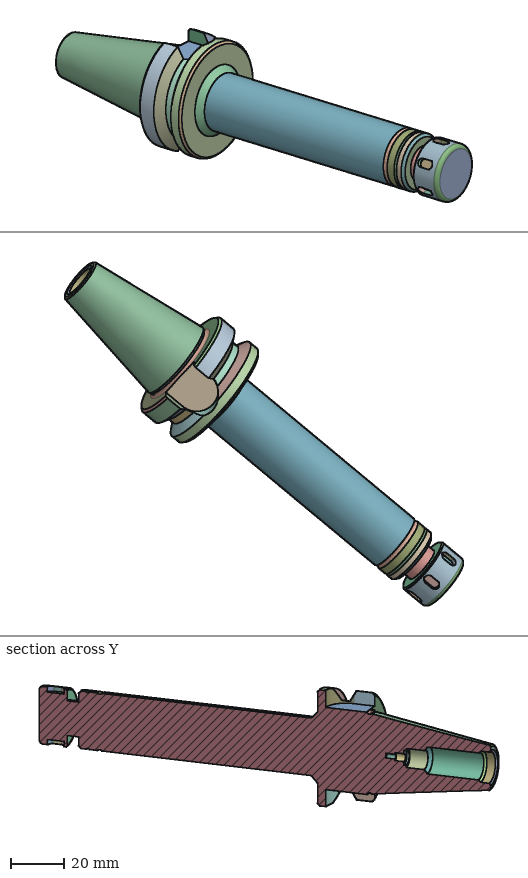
import cadquery as cq
import math

overall_length = 183.4

gauge_x = 48.2
gauge_radius = 16.0
taper_slope = 7 / 48
nose_chamfer_length = 0.5
nose_face_radius = 8.3

relief_bottom_x = 49.2
relief_bottom_radius = 15.5
flange_start_x = 50.5
relief_fillet = flange_start_x - relief_bottom_x

flange_radius = 46.0 / 2
flange_end_x = 70.5
flange_chamfer = 1.0
gripper_center_x = 61.8
gripper_bottom_half_width = 1.5
gripper_top_half_width = 4.0
gripper_bottom_radius = 18.9

drive_slot_width = 16.1
drive_slot_floor_z = 16.3
drive_slot_end_x = 67.0

shank_radius = 23.0 / 2
shank_root_length = 2.5
shank_root_height = 2.5
shank_end_x = 167.5
shank_end_chamfer = 1.1
wide_ring_x = 157.9
wide_ring_width = 1.8
narrow_ring_x = 163.0
narrow_ring_width = 1.1
wide_ring_depth = 0.4
narrow_ring_depth = 0.4

neck_radius = 7.0
nut_start_x = 171.8
nut_radius = shank_radius
nut_rear_chamfer = 0.5
nut_front_fillet = 1.7

wrench_slot_count = 6
wrench_slot_start_x = 173.3
wrench_slot_length = 6.6
wrench_slot_width = 3.5
wrench_slot_depth = 2.0

mouth_radius = 7.0
mouth_chamfer_length = 0.5
counterbore_radius = 6.0
counterbore_depth = 4.0
thread_lead_in = 1.0
thread_radius = 10.5 / 2
thread_end_x = 25.7
cone_length = 1.3
pilot_radius = 3.7
pilot_length = 7.3
seat_radius = 5.7 / 2
seat_length = 1.0
stop_recess_radius = 1.5
stop_recess_length = 3.7
stop_hole_radius = 0.85
stop_hole_length = 3.7


def taper_radius(x):
    """Radius of the taper at a distance x from its small end."""
    return gauge_radius - taper_slope * (gauge_x - x)


def make_body():
    """Revolve the outer profile around X."""
    half_diagonal = math.sqrt(0.5)
    relief_mid = (
        relief_bottom_x + relief_fillet * half_diagonal,
        relief_bottom_radius + relief_fillet * (1 - half_diagonal),
    )
    nut_mid = (
        overall_length - nut_front_fillet * (1 - half_diagonal),
        nut_radius - nut_front_fillet * (1 - half_diagonal),
    )
    profile = (
        cq.Workplane("XY")
        .moveTo(0, 0)
        .lineTo(0, nose_face_radius)
        .lineTo(nose_chamfer_length, taper_radius(nose_chamfer_length))
        .lineTo(gauge_x, gauge_radius)
        .lineTo(relief_bottom_x, relief_bottom_radius)
        .threePointArc(relief_mid, (flange_start_x, relief_bottom_radius + relief_fillet))
        .lineTo(flange_start_x, flange_radius - flange_chamfer)
        .lineTo(flange_start_x + flange_chamfer, flange_radius)
        .lineTo(gripper_center_x - gripper_top_half_width, flange_radius)
        .lineTo(gripper_center_x - gripper_bottom_half_width, gripper_bottom_radius)
        .lineTo(gripper_center_x + gripper_bottom_half_width, gripper_bottom_radius)
        .lineTo(gripper_center_x + gripper_top_half_width, flange_radius)
        .lineTo(flange_end_x - flange_chamfer, flange_radius)
        .lineTo(flange_end_x, flange_radius - flange_chamfer)
        .lineTo(flange_end_x, shank_radius + shank_root_height)
        .lineTo(flange_end_x + shank_root_length, shank_radius)
        .lineTo(shank_end_x - shank_end_chamfer, shank_radius)
        .lineTo(shank_end_x, shank_radius - shank_end_chamfer)
        .lineTo(shank_end_x, neck_radius)
        .lineTo(nut_start_x, neck_radius)
        .lineTo(nut_start_x, nut_radius - nut_rear_chamfer)
        .lineTo(nut_start_x + nut_rear_chamfer, nut_radius)
        .lineTo(overall_length - nut_front_fillet, nut_radius)
        .threePointArc(nut_mid, (overall_length, nut_radius - nut_front_fillet))
        .lineTo(overall_length, 0)
        .close()
    )
    return profile.revolve(360, (0, 0, 0), (1, 0, 0))


def make_ring_groove(start_x, width, depth):
    """Round-bottomed ring cutter for a marking groove in the shank."""
    return (
        cq.Workplane("XY")
        .moveTo(start_x, shank_radius)
        .threePointArc((start_x + width / 2, shank_radius - depth), (start_x + width, shank_radius))
        .close()
        .revolve(360, (0, 0, 0), (1, 0, 0))
    )


def make_drive_slot():
    """Cutter for the upper drive slot, open toward the taper, with a round end."""
    half_width = drive_slot_width / 2
    arc_center_x = drive_slot_end_x - half_width
    return (
        cq.Workplane("XY", origin=(0, 0, drive_slot_floor_z))
        .moveTo(gauge_x, -half_width)
        .lineTo(arc_center_x, -half_width)
        .threePointArc((drive_slot_end_x, 0), (arc_center_x, half_width))
        .lineTo(gauge_x, half_width)
        .close()
        .extrude(flange_radius)
    )


def make_wrench_slot():
    """Cutter for the wrench slot at the top of the nut."""
    center_x = wrench_slot_start_x + wrench_slot_length / 2
    return (
        cq.Workplane("XY", origin=(center_x, 0, nut_radius - wrench_slot_depth))
        .slot2D(wrench_slot_length, wrench_slot_width)
        .extrude(2 * wrench_slot_depth)
    )


def make_bore():
    """Cutter for the stepped bore in the taper end."""
    pilot_start_x = thread_end_x + cone_length
    seat_start_x = pilot_start_x + pilot_length
    recess_start_x = seat_start_x + seat_length
    hole_start_x = recess_start_x + stop_recess_length
    hole_end_x = hole_start_x + stop_hole_length
    return (
        cq.Workplane("XY")
        .moveTo(0, 0)
        .lineTo(0, mouth_radius)
        .lineTo(mouth_chamfer_length, counterbore_radius)
        .lineTo(counterbore_depth, counterbore_radius)
        .lineTo(counterbore_depth + thread_lead_in, thread_radius)
        .lineTo(thread_end_x, thread_radius)
        .lineTo(pilot_start_x, pilot_radius)
        .lineTo(seat_start_x, pilot_radius)
        .lineTo(seat_start_x, seat_radius)
        .lineTo(recess_start_x, seat_radius)
        .lineTo(recess_start_x, stop_recess_radius)
        .lineTo(hole_start_x, stop_recess_radius)
        .lineTo(hole_start_x, stop_hole_radius)
        .lineTo(hole_end_x, stop_hole_radius)
        .lineTo(hole_end_x, 0)
        .close()
        .revolve(360, (0, 0, 0), (1, 0, 0))
    )


result = make_body()
result = result.cut(make_ring_groove(wide_ring_x, wide_ring_width, wide_ring_depth))
result = result.cut(make_ring_groove(narrow_ring_x, narrow_ring_width, narrow_ring_depth))

for angle in (0, 180):
    result = result.cut(make_drive_slot().rotate((0, 0, 0), (1, 0, 0), angle))

for index in range(wrench_slot_count):
    angle = index * 360 / wrench_slot_count
    result = result.cut(make_wrench_slot().rotate((0, 0, 0), (1, 0, 0), angle))

result = result.cut(make_bore())